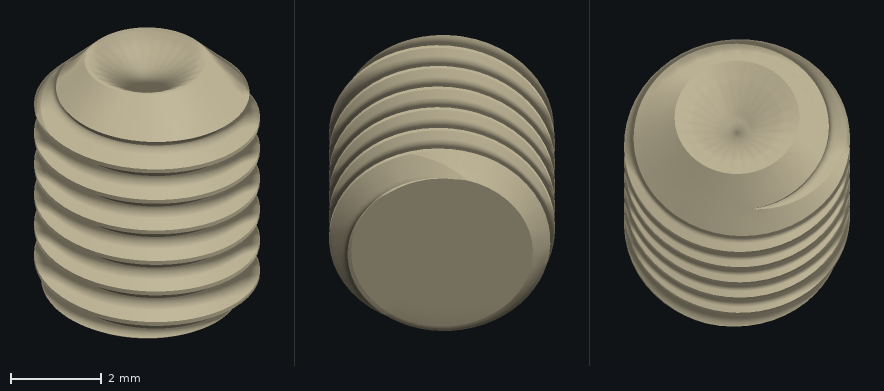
import cadquery as cq
import math

length = 6.0
major_diameter = 5.0
pitch = length * 2 / 15
crest_width = pitch / 8
root_width = pitch / 8
flank_slope = math.tan(math.radians(30))

major_radius = major_diameter / 2
thread_depth = (pitch - crest_width - root_width) / (2 * flank_slope)
root_radius = major_radius - thread_depth

groove_phase = 0.145

point_radius = 1.38
point_height = major_radius - point_radius
cup_depth = point_radius * math.tan(math.radians(30))

base_radius = 2.01
base_chamfer_angle = 36
base_chamfer_height = (major_radius - base_radius) * math.tan(math.radians(base_chamfer_angle))

groove_overcut = 0.05
run_out_turns = 1


def make_blank():
    """Unthreaded screw: base chamfer, shank, point cone and cup in one revolve."""
    half_section = [
        (0, 0),
        (base_radius, 0),
        (major_radius, base_chamfer_height),
        (major_radius, length - point_height),
        (point_radius, length),
        (0, length - cup_depth),
    ]
    return cq.Workplane("YZ").polyline(half_section).close().revolve(360, (0, 0), (0, 1))


def make_groove():
    """Trapezoidal thread space swept along a left-handed helix past both ends."""
    turns = math.ceil(length / pitch) + 2 * run_out_turns
    start_height = groove_phase - run_out_turns * pitch
    cutter_radius = major_radius + groove_overcut
    half_root = root_width / 2
    half_mouth = half_root + (cutter_radius - root_radius) * flank_slope
    helix = cq.Wire.makeHelix(pitch, turns * pitch, root_radius, lefthand=True)
    groove = (
        cq.Workplane("XZ")
        .polyline([
            (root_radius, -half_root),
            (cutter_radius, -half_mouth),
            (cutter_radius, half_mouth),
            (root_radius, half_root),
        ])
        .close()
        .sweep(cq.Workplane(obj=helix), isFrenet=True)
    )
    return groove.translate((0, 0, start_height))


result = make_blank().cut(make_groove())